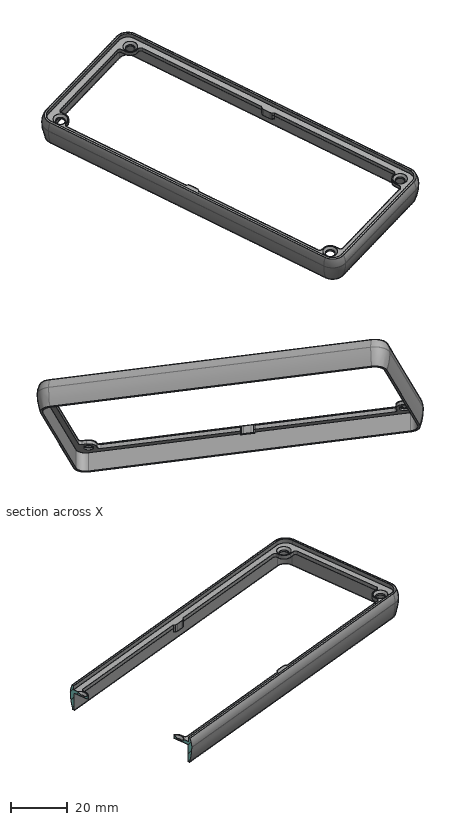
import cadquery as cq
import math

length = 129.0
width = 55.1
height = 10.5
corner_radius = 5.5

parting_height = 7.0
top_inset = 0.9
bottom_inset = 1.2

rim_inset = 1.7
rim_height = 1.7
plate_inset = 4.0
plate_thickness = 1.5
skirt_inset = 1.9
plate_top = height - rim_height
plate_bottom = plate_top - plate_thickness

screw_x = 57.8
screw_y = 21.8
boss_radius = 3.0
boss_root_radius = 1.0
hole_diameter = 3.5
countersink_diameter = 5.2
countersink_angle = 90

tab_root_length = 5.4
tab_shoulder_length = 4.4
tab_tip_length = 2.7
tab_shoulder_reach = 0.58
tab_reach = 0.8
tab_depth = 3.1


def wall_radius(rise, inset):
    """Radius of an arc that starts vertical and moves in by inset over the given rise."""
    return (rise**2 + inset**2) / (2 * inset)


def wall_midpoint(side, rise, inset):
    """Point halfway along the wall arc that starts from the widest line of the wall."""
    radius = wall_radius(abs(rise), inset)
    half_angle = math.asin(abs(rise) / radius) / 2
    x = side - radius * (1 - math.cos(half_angle))
    z = parting_height + math.copysign(radius * math.sin(half_angle), rise)
    return x, z


def frame_path():
    """Closed rounded rectangle along the widest line, starting mid-way along the +X side."""
    x = length / 2
    y = width / 2
    r = corner_radius
    return (
        cq.Workplane("XY", origin=(0, 0, parting_height))
        .moveTo(x, 0)
        .lineTo(x, y - r)
        .radiusArc((x - r, y), -r)
        .lineTo(r - x, y)
        .radiusArc((-x, y - r), -r)
        .lineTo(-x, r - y)
        .radiusArc((r - x, -y), -r)
        .lineTo(x - r, -y)
        .radiusArc((x, r - y), -r)
        .close()
    )


def frame_ring():
    """Cross-section of rim, plate and skirt swept around the frame."""
    side = length / 2
    section = (
        cq.Workplane("XZ")
        .moveTo(side - bottom_inset, 0)
        .threePointArc(wall_midpoint(side, -parting_height, bottom_inset), (side, parting_height))
        .threePointArc(
            wall_midpoint(side, height - parting_height, top_inset), (side - top_inset, height)
        )
        .lineTo(side - rim_inset, height)
        .lineTo(side - rim_inset, plate_top)
        .lineTo(side - plate_inset, plate_top)
        .lineTo(side - plate_inset, plate_bottom)
        .lineTo(side - skirt_inset, plate_bottom)
        .lineTo(side - skirt_inset, 0)
        .close()
    )
    return section.sweep(frame_path())


def boss():
    """Plate pad of the +X +Y corner, rounded about the screw and flared into the opening edges."""
    inner_x = screw_x - boss_radius
    inner_y = screw_y - boss_radius
    edge_x = length / 2 - plate_inset
    edge_y = width / 2 - plate_inset
    outer_x = length / 2 - rim_inset
    outer_y = width / 2 - rim_inset
    r = boss_root_radius
    return (
        cq.Workplane("XY", origin=(0, 0, plate_bottom))
        .moveTo(inner_x, screw_y)
        .radiusArc((screw_x, inner_y), -boss_radius)
        .lineTo(edge_x - r, inner_y)
        .radiusArc((edge_x, inner_y - r), r)
        .lineTo(outer_x, inner_y - r)
        .lineTo(outer_x, screw_y)
        .lineTo(screw_x, outer_y)
        .lineTo(inner_x - r, outer_y)
        .lineTo(inner_x - r, edge_y)
        .radiusArc((inner_x, edge_y - r), r)
        .close()
        .extrude(plate_thickness)
    )


def screw_hole():
    """Countersunk through hole of the +X +Y corner."""
    sink_width = (countersink_diameter - hole_diameter) / 2
    sink_depth = sink_width / math.tan(math.radians(countersink_angle / 2))
    hole = cq.Workplane("XY").circle(hole_diameter / 2).extrude(plate_top)
    sink = (
        cq.Workplane("XY", origin=(0, 0, plate_top - sink_depth))
        .circle(hole_diameter / 2)
        .workplane(offset=sink_depth)
        .circle(countersink_diameter / 2)
        .loft()
    )
    return hole.union(sink).translate((screw_x, screw_y, 0))


def tab():
    """Tab on the +Y side, tapering in two slopes, that stands on the plate edge and hangs below it."""
    root_y = width / 2 - plate_inset
    shoulder_y = root_y - tab_shoulder_reach
    tip_y = root_y - tab_reach
    right_end = [
        (tab_tip_length / 2, tip_y),
        (tab_shoulder_length / 2, shoulder_y),
        (tab_root_length / 2, root_y),
    ]
    left_end = [(-x, y) for x, y in reversed(right_end)]
    return (
        cq.Workplane("XY", origin=(0, 0, plate_top - tab_depth))
        .polyline(left_end + right_end)
        .close()
        .extrude(tab_depth)
    )


def at_corners(shape):
    """The shape of the +X +Y corner together with its mirror images in the others."""
    pair = shape.union(shape.mirror("YZ"))
    return pair.union(pair.mirror("XZ"))


tabs = tab().union(tab().mirror("XZ"))
result = frame_ring().union(at_corners(boss())).union(tabs)
result = result.cut(at_corners(screw_hole()))